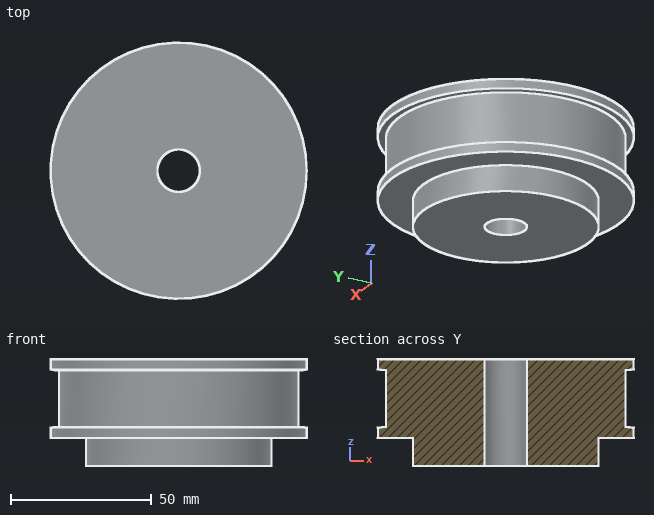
import cadquery as cq

flange_diameter = 91.0
drum_diameter = 85.2
hub_diameter = 66.0
bore_diameter = 15.0

hub_height = 10.0
flange_thickness = 4.0
drum_height = 20.0

taper_width = 1.9
taper_depth = 0.335

hub_radius = hub_diameter / 2
drum_radius = drum_diameter / 2
flange_radius = flange_diameter / 2
taper_start_radius = flange_radius - taper_width

drum_bottom = hub_height + flange_thickness
drum_top = drum_bottom + drum_height
total_height = drum_top + flange_thickness


def make_spool():
    """Revolve the half section of hub, flanges and drum around Z."""
    half_section = [
        (0, 0),
        (hub_radius, 0),
        (hub_radius, hub_height),
        (flange_radius, hub_height),
        (flange_radius, drum_bottom - taper_depth),
        (taper_start_radius, drum_bottom),
        (drum_radius, drum_bottom),
        (drum_radius, drum_top),
        (taper_start_radius, drum_top),
        (flange_radius, drum_top + taper_depth),
        (flange_radius, total_height),
        (0, total_height),
    ]
    profile = cq.Workplane("XZ").polyline(half_section).close()
    return profile.revolve(360, (0, 0, 0), (0, 1, 0))


def make_bore():
    """Cylinder that clears the shaft hole through the full height."""
    return cq.Workplane("XY").circle(bore_diameter / 2).extrude(total_height)


result = make_spool().cut(make_bore())